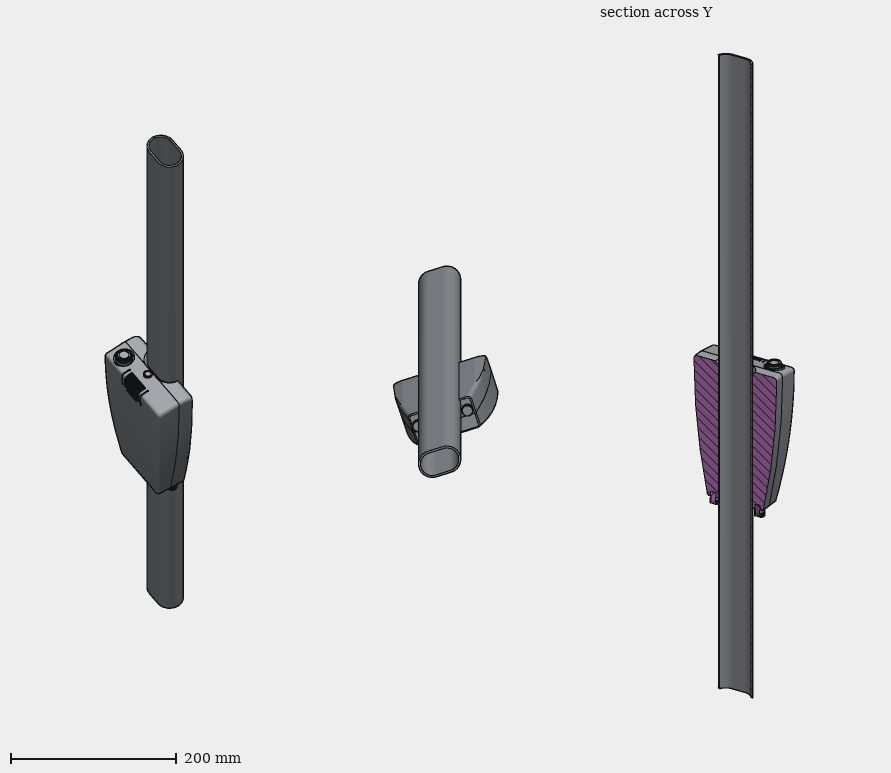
import cadquery as cq
import math

tube_length = 865.0
tube_width = 52.0
tube_depth = 33.5
tube_wall = 2.5

overall_depth = 66.13
housing_width = 117.95
housing_bottom = 259.5
housing_top = 446.3
back_y = 2.8
front_y = tube_depth / 2 - overall_depth
parting_y = -19.6
side_radius = 860.0
widest_z = 441.0
front_radius = 1450.0
front_top_drop = 4.3
back_top_radius = 11.0
front_edge_radius = 4.0
top_side_radius = 5.0
back_plate_width = 92.0
back_bevel_depth = 3.0
bottom_chamfer = 1.5
cradle_chamfer = 3.5
lead_in_overshoot = 1.0

slit_spacing = 39.0
slit_width = 1.2
slit_depth = 11.5
slit_bottom = 423.0
grip_width = 29.0
grip_bottom = 425.0
grip_groove_width = 1.2
grip_groove_depth = 1.2
grip_groove_pitch = 2.6
grip_groove_count = 6
top_groove_count = 4
top_groove_drop = 5.5
thumb_lip_width = 20.0
thumb_lip_bottom = 420.5

button_x = -38.2
button_y = -34.0
button_pocket_diameter = 25.0
button_pocket_floor = 441.0
button_stem_diameter = 13.03
button_stem_length = 8.0
button_flange_diameter = 20.5
button_flange_top = 446.0
button_collar_diameter = 18.0
button_collar_top = 448.5
button_cap_diameter = 16.5
button_top = 450.2
button_dish_diameter = 12.1
button_dish_depth = 1.0

lens_y = -25.2
lens_diameter = 11.0
lens_dome_diameter = 8.0
lens_dome_height = 1.0
lens_depth = 6.0
lens_top = housing_top

gland_x = 31.3
gland_y = -11.8
gland_diameter = 13.03
gland_neck_diameter = 12.1
gland_bottom = 249.8
gland_collar_top = 255.0
gland_groove_width = 1.5
gland_insertion = 6.0


def arc_drop(radius, distance):
    """Sideways fall of an arc at a distance along the tangent it starts on."""
    return radius - math.sqrt(radius**2 - distance**2)


def oval(width, depth, bottom, height):
    """Upright oval prism: two flats joined by half circles."""
    return cq.Workplane("XY").workplane(offset=bottom).slot2D(width, depth).extrude(height)


def cylinder(x, y, diameter, bottom, top):
    return cq.Workplane("XY", origin=(x, y, bottom)).circle(diameter / 2).extrude(top - bottom)


def make_tube():
    outer = oval(tube_width, tube_depth, 0, tube_length)
    bore = oval(tube_width - 2 * tube_wall, tube_depth - 2 * tube_wall, 0, tube_length)
    return outer.cut(bore)


def make_envelope():
    """Outer shape of the closed housing, before it is split at the parting plane."""
    half_width = housing_width / 2
    bottom_half = half_width - arc_drop(side_radius, widest_z - housing_bottom)
    top_half = half_width - arc_drop(side_radius, housing_top - widest_z)
    front_outline = (
        cq.Workplane("XZ", origin=(0, back_y, 0))
        .moveTo(-bottom_half, housing_bottom)
        .lineTo(bottom_half, housing_bottom)
        .threePointArc((half_width, widest_z), (top_half, housing_top))
        .lineTo(-top_half, housing_top)
        .threePointArc((-half_width, widest_z), (-bottom_half, housing_bottom))
        .close()
        .extrude(back_y - front_y)
    )

    front_top = housing_top - front_top_drop
    front_height = front_top - housing_bottom
    bottom_front_y = front_y + arc_drop(front_radius, front_height)
    middle_front_y = front_y + arc_drop(front_radius, front_height / 2)
    side_outline = (
        cq.Workplane("YZ", origin=(-half_width, 0, 0))
        .moveTo(bottom_front_y, housing_bottom)
        .lineTo(back_y, housing_bottom)
        .lineTo(back_y, housing_top - back_top_radius)
        .radiusArc((back_y - back_top_radius, housing_top), -back_top_radius)
        .lineTo(parting_y, housing_top)
        .lineTo(front_y, front_top)
        .threePointArc(
            (middle_front_y, housing_bottom + front_height / 2),
            (bottom_front_y, housing_bottom),
        )
        .close()
        .extrude(housing_width)
    )
    envelope = front_outline.intersect(side_outline)

    margin = 1.0
    for side in (-1, 1):
        upper_side_edges = cq.selectors.BoxSelector(
            (side * (half_width - margin), front_y - margin, front_top - margin),
            (side * (half_width + margin), back_y + margin, housing_top + margin),
        )
        envelope = envelope.edges(upper_side_edges).fillet(top_side_radius)

    front_edges = cq.selectors.BoxSelector(
        (-half_width, front_y - margin, housing_bottom + margin),
        (half_width, bottom_front_y + margin, front_top + margin),
    )
    envelope = envelope.edges(front_edges).fillet(front_edge_radius)
    for side in (-1, 1):
        envelope = envelope.cut(back_bevel(side))
    return envelope.faces("<Z").edges().chamfer(bottom_chamfer)


def housing_slice(y_from, y_to):
    """Block that spans the whole housing between two Y planes."""
    return (
        cq.Workplane("XZ", origin=(0, y_to, 0))
        .rect(2 * housing_width, 2 * tube_length)
        .extrude(y_to - y_from)
    )


def back_bevel(side):
    """Wedge that bevels one flank of the back."""
    plate_edge = side * back_plate_width / 2
    outer_edge = side * housing_width / 2
    return (
        cq.Workplane("XY", origin=(0, 0, housing_bottom))
        .polyline([(plate_edge, back_y), (outer_edge, back_y), (outer_edge, back_y - back_bevel_depth)])
        .close()
        .extrude(housing_top - housing_bottom)
    )


def make_gland(x):
    """Cable gland: a neck let into the shell, a collar and a groove round the collar."""
    neck = cylinder(x, gland_y, gland_neck_diameter, gland_bottom, housing_bottom + gland_insertion)
    collar = cylinder(x, gland_y, gland_diameter, gland_bottom, gland_collar_top)
    groove_bottom = (gland_bottom + gland_collar_top - gland_groove_width) / 2
    groove_top = groove_bottom + gland_groove_width
    groove = cylinder(x, gland_y, gland_diameter, groove_bottom, groove_top).cut(
        cylinder(x, gland_y, gland_neck_diameter, groove_bottom, groove_top)
    )
    return neck.union(collar).cut(groove)


def make_rear_shell(glands):
    shell = make_envelope().intersect(housing_slice(parting_y, back_y))
    shell = shell.cut(oval(tube_width, tube_depth, 0, tube_length))
    rim_growth = 2 * (cradle_chamfer + lead_in_overshoot)
    lead_in = (
        cq.Workplane("XY").workplane(offset=housing_top + lead_in_overshoot)
        .slot2D(tube_width + rim_growth, tube_depth + rim_growth)
        .workplane(offset=-cradle_chamfer - lead_in_overshoot)
        .slot2D(tube_width, tube_depth)
        .loft(ruled=True)
    )
    shell = shell.cut(lead_in)
    for gland in glands:
        shell = shell.cut(gland)
    return shell


def make_button():
    """Stepped round push button with a dished cap."""

    def disc(diameter, bottom, top):
        return cylinder(button_x, button_y, diameter, bottom, top)

    stem = disc(button_stem_diameter, button_pocket_floor - button_stem_length, button_pocket_floor)
    flange = disc(button_flange_diameter, button_pocket_floor, button_flange_top)
    collar = disc(button_collar_diameter, button_flange_top, button_collar_top)
    cap = disc(button_cap_diameter, button_collar_top, button_top)
    dish = disc(button_dish_diameter, button_top - button_dish_depth, button_top)
    return stem.union(flange).union(collar).union(cap).cut(dish)


def make_lens():
    """Indicator lens: a round body set flush in the cover, with a low dome disc on it."""
    body = cylinder(0, lens_y, lens_diameter, lens_top - lens_depth, lens_top)
    dome = cylinder(0, lens_y, lens_dome_diameter, lens_top, lens_top + lens_dome_height)
    return body.union(dome)


def cut_snap_tab(cover):
    """Cut the two slits that free the tab from the cover."""
    tab_height = housing_top - slit_bottom
    for side in (-1, 1):
        slit = (
            cq.Workplane("XY", origin=(side * slit_spacing / 2, front_y, slit_bottom))
            .rect(slit_width, 2 * slit_depth)
            .extrude(tab_height)
        )
        cover = cover.cut(slit)
    return cover


def cut_grip(cover):
    """Groove the front and the top of the tab, and add a shorter groove below for the thumb."""
    for index in range(grip_groove_count):
        groove = (
            cq.Workplane("XY", origin=(0, front_y, grip_bottom + index * grip_groove_pitch))
            .rect(grip_width, 2 * grip_groove_depth)
            .extrude(grip_groove_width)
        )
        cover = cover.cut(groove)
    for index in range(top_groove_count):
        groove_y = front_y - grip_groove_depth + slit_depth - index * grip_groove_pitch
        groove = (
            cq.Workplane("XY", origin=(0, groove_y, housing_top))
            .rect(grip_width, grip_groove_width)
            .extrude(-top_groove_drop)
        )
        cover = cover.cut(groove)
    thumb_lip = (
        cq.Workplane("XY", origin=(0, front_y, thumb_lip_bottom))
        .rect(thumb_lip_width, 2 * grip_groove_depth)
        .extrude(grip_groove_width)
    )
    return cover.cut(thumb_lip)


def make_front_cover(button, lens):
    cover = make_envelope().intersect(housing_slice(front_y, parting_y))
    cover = cut_grip(cut_snap_tab(cover))
    pocket = cylinder(button_x, button_y, button_pocket_diameter, button_pocket_floor, housing_top)
    cover = cover.cut(pocket)
    return cover.cut(button).cut(lens)


tube = make_tube()
cable_glands = [make_gland(side * gland_x) for side in (-1, 1)]
rear_shell = make_rear_shell(cable_glands)
push_button = make_button()
indicator_lens = make_lens()
front_cover = make_front_cover(push_button, indicator_lens)

result = cq.Compound.makeCompound(
    [tube.val(), rear_shell.val(), front_cover.val(), push_button.val(), indicator_lens.val()]
    + [gland.val() for gland in cable_glands]
)